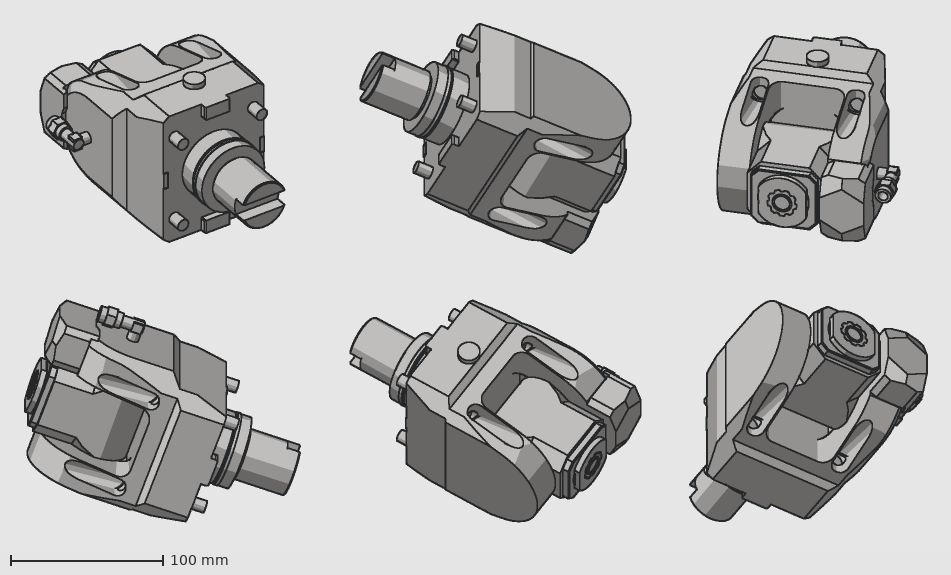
import cadquery as cq
import math


root_overlap = 1.8

envelope_radius = 61.0
pivot_x = -70.1
arm_radius = 37.8
slope = math.radians(15)
arm_half_height = 45.6
arm_front_y = -52.5
arm_back_y = 47.0
flange_half_height = 50.0
flange_half_width = 45.6
flange_face_half_width = 39.6
arm_step_x = -34.5

slot_half_width = 25.6
slot_corner_radius = 8.2
bearing_bore_radius = 30.5
front_arm_end_x = -98.8
head_half_height = 24.0
slot_end_x = pivot_x + head_half_height

shank_tip_x = 60.0
shank_radius = 17.5
spigot_radius = 24.7
spigot_end_x = 23.0
bolt_radius = 4.2
bolt_end_length = 10.5
bolt_y = 31.0
bolt_z = 32.2
key_width = 19.6
key_length = 4.9
key_height = 10.0

pocket_y = 32.5
pocket_radius = 6.0
pocket_tilt = 10
pocket_end_x = -44.5
bolt_bore_z = 33.8
bolt_bore_radius = 5.5
bolt_bore_depth = 1.5

head_front_x = -111.5
cover_front_x = -116.5
disc_front_x = -120.5

nut_front_x = -121.7
nut_rear_x = -94.1
nut_width = 29.8
nut_y = -slot_half_width - nut_width / 2
nut_half_height = 24.2

fitting_y = -62.3
elbow_x = pivot_x


def box(x_range, y_range, z_range):
    """Axis-aligned block between the given limits."""
    sizes = [high - low for low, high in (x_range, y_range, z_range)]
    corner = (x_range[0], y_range[0], z_range[0])
    return cq.Workplane("XY").box(*sizes, centered=False).translate(corner)


def rod(start_x, end_x, radius, y=0, z=0):
    """Cylinder along X."""
    return cq.Workplane("YZ", origin=(start_x, y, z)).circle(radius).extrude(end_x - start_x)


def mirrored_outline(plane, upper_points):
    """Closed straight-sided outline from its upper half, reflected in the X axis."""
    lower_points = [(x, -height) for x, height in reversed(upper_points)]
    return cq.Workplane(plane).polyline(upper_points + lower_points).close()


def make_envelope():
    """Cylinder with a ball end that limits the housing crosswise."""
    ball = cq.Workplane("XY").sphere(envelope_radius).translate((pivot_x, 0, 0))
    return rod(pivot_x, 0, envelope_radius).union(ball)


def make_side_profile():
    """Side outline: round arm ends, 15 degree slopes, then the taller flange block."""
    tangent_x = pivot_x - arm_radius * math.sin(slope)
    tangent_z = arm_radius * math.cos(slope)
    slope_end_x = tangent_x + (arm_half_height - tangent_z) / math.tan(slope)
    step_height = flange_half_height - arm_half_height
    depth = arm_back_y - arm_front_y
    upper_points = [
        (tangent_x, tangent_z),
        (slope_end_x, arm_half_height),
        (arm_step_x, arm_half_height),
        (arm_step_x + step_height, flange_half_height),
        (0, flange_half_height),
    ]
    straight_part = mirrored_outline("XZ", upper_points).extrude(depth)
    round_part = cq.Workplane("XZ").center(pivot_x, 0).circle(arm_radius).extrude(depth)
    return straight_part.union(round_part).translate((0, arm_back_y, 0))


def make_plan_profile():
    """Outline from above: wider arms, 45 degree steps and tapered flange flanks."""
    taper_length = (flange_half_width - flange_face_half_width) / math.tan(slope)
    front_step = -arm_front_y - flange_half_width
    back_step = arm_back_y - flange_half_width
    left_x = pivot_x - arm_radius
    points = [
        (left_x, arm_front_y),
        (arm_step_x - front_step, arm_front_y),
        (arm_step_x, -flange_half_width),
        (-taper_length, -flange_half_width),
        (0, -flange_face_half_width),
        (0, flange_face_half_width),
        (-taper_length, flange_half_width),
        (arm_step_x, flange_half_width),
        (arm_step_x - back_step, arm_back_y),
        (left_x, arm_back_y),
    ]
    outline = cq.Workplane("XY").polyline(points).close()
    return outline.extrude(flange_half_height, both=True)


def make_slot():
    """Opening between the arms, with rounded inner corners."""
    slot = box(
        (nut_front_x, slot_end_x),
        (-slot_half_width, slot_half_width),
        (-flange_half_height, flange_half_height),
    )
    bearing_bore = rod(slot_end_x - slot_corner_radius, slot_end_x, bearing_bore_radius)
    corner_relief = slot.intersect(bearing_bore)
    return slot.edges("|Z and >X").fillet(slot_corner_radius).union(corner_relief)


def make_bolt_pocket():
    """Tilted round-bottomed channel down to one bolt, plus the bore in its end wall."""
    start_x = pivot_x - arm_radius
    length = pocket_end_x - start_x
    top_z = flange_half_height
    bore_start_x = pocket_end_x - pocket_radius
    stadium = (
        cq.Workplane("XY")
        .center(start_x + length / 2, pocket_y)
        .slot2D(length, 2 * pocket_radius)
        .extrude(top_z)
    )
    y_range = (pocket_y - pocket_radius, pocket_y + pocket_radius)
    channel_start_x = bore_start_x - 2 * length
    channel_end_x = bore_start_x + length
    channel = rod(channel_start_x, channel_end_x, pocket_radius, pocket_y, bolt_bore_z)
    z_range = (bolt_bore_z, bolt_bore_z + top_z)
    channel = channel.union(box((channel_start_x, channel_end_x), y_range, z_range))
    tilt_centre = (bore_start_x, 0, bolt_bore_z)
    tilt_axis_end = (bore_start_x, 1, bolt_bore_z)
    channel = channel.rotate(tilt_centre, tilt_axis_end, pocket_tilt)
    bore = rod(bore_start_x, pocket_end_x + bolt_bore_depth, bolt_bore_radius, pocket_y, bolt_bore_z)
    return stadium.intersect(channel).union(bore)


def make_housing():
    """Forked body with its bolt pockets and the button on top."""
    housing = make_side_profile().intersect(make_plan_profile()).intersect(make_envelope())
    housing = housing.cut(make_slot())
    arm_end = box(
        (nut_front_x, front_arm_end_x),
        (arm_front_y, -slot_half_width),
        (-arm_radius, arm_radius),
    )
    housing = housing.cut(arm_end)
    upper_back = make_bolt_pocket()
    upper_front = upper_back.mirror("XZ")
    for pocket in (upper_back, upper_front):
        housing = housing.cut(pocket).cut(pocket.mirror("XY"))
    button_radius = 7.3
    button_x = -23.0
    button_top_z = 54.0
    button = cq.Workplane("XY").center(button_x, 0).circle(button_radius).extrude(button_top_z)
    return housing.union(button)


def make_shank():
    """Spigot with seal groove and ring, neck, and the slotted drive end."""
    groove_start_x = 12.0
    groove_end_x = 12.7
    groove_radius = 24.0
    seal_end_x = 15.8
    seal_radius = 25.0
    seal_bevel = 0.7
    neck_end_x = 25.0
    neck_radius = 15.3
    tip_chamfer = 0.7
    drive_slot_x = 50.9
    drive_slot_half_height = 6.0

    shank = rod(-root_overlap, groove_start_x, spigot_radius)
    shank = shank.union(rod(groove_start_x, groove_end_x, groove_radius))
    seal = rod(groove_end_x, seal_end_x, seal_radius).faces("<X").chamfer(seal_bevel)
    shank = shank.union(seal)
    shank = shank.union(rod(seal_end_x, spigot_end_x, spigot_radius))
    shank = shank.union(rod(spigot_end_x, neck_end_x, neck_radius))
    drive_end = rod(neck_end_x, shank_tip_x, shank_radius).faces(">X").chamfer(tip_chamfer)
    drive_slot = box(
        (drive_slot_x, shank_tip_x),
        (-shank_radius, shank_radius),
        (-drive_slot_half_height, drive_slot_half_height),
    )
    return shank.union(drive_end.cut(drive_slot))


def make_key():
    """Upper locating key with bevelled tip corners and bevelled lower edges."""
    tip_bevel_length = 1.5
    bevel_width = 0.5
    lower_bevel_height = 0.9
    half_width = key_width / 2
    upper_points = [
        (0, half_width),
        (key_length - tip_bevel_length, half_width),
        (key_length, half_width - bevel_width),
    ]
    plan = mirrored_outline("XY", upper_points).extrude(flange_half_height)
    bottom_z = flange_half_height - key_height
    section = [
        (-half_width, flange_half_height),
        (-half_width, bottom_z + lower_bevel_height),
        (-half_width + bevel_width, bottom_z),
        (half_width - bevel_width, bottom_z),
        (half_width, bottom_z + lower_bevel_height),
        (half_width, flange_half_height),
    ]
    return plan.intersect(cq.Workplane("YZ").polyline(section).close().extrude(key_length))


def make_mounting_side():
    """Shank, flank pads, four bolt ends and two keys on the mounting face."""
    mounting = make_shank()
    pad_inner_y = 36.3
    pad_half_height = 6.0
    pad_thickness = 0.5
    pad = box(
        (-root_overlap, pad_thickness),
        (pad_inner_y, flange_face_half_width),
        (-pad_half_height, pad_half_height),
    )
    mounting = mounting.union(pad).union(pad.mirror("XZ"))
    for side in (-1, 1):
        for level in (-1, 1):
            bolt = rod(-root_overlap, bolt_end_length, bolt_radius, side * bolt_y, level * bolt_z)
            mounting = mounting.union(bolt)
    key = make_key()
    return mounting.union(key).union(key.mirror("XY"))


def make_edge_relief():
    """Cutter for one long edge of the head: a bevel that runs out towards the round back in two ramps."""
    bevel_end_x = -84.7
    ramp_end_x = -78.7
    runout_x = pivot_x + 1.0
    bevel_depth = 6.7
    ramp_depth = 3.3
    half_reach = 18.2
    corner_distance = math.hypot(slot_half_width, head_half_height)
    corner_angle = math.degrees(math.atan2(head_half_height, slot_half_width))
    relief = (
        cq.Workplane("XZ")
        .moveTo(head_front_x, corner_distance - bevel_depth)
        .lineTo(bevel_end_x, corner_distance - bevel_depth)
        .lineTo(ramp_end_x, corner_distance - ramp_depth)
        .lineTo(runout_x, corner_distance)
        .lineTo(head_front_x, corner_distance)
        .close()
        .extrude(half_reach, both=True)
    )
    return relief.rotate((0, 0, 0), (1, 0, 0), 90 - corner_angle)


def make_clamping_nut():
    """Thin lobed nut with a ring groove on the face of the disc."""
    lobe_count = 9
    nut_radius = 10.0
    notch_radius = 2.0
    notch_centre_radius = 10.7
    thickness = 0.4
    groove_outer_radius = 6.5
    groove_inner_radius = 5.3
    face_x = disc_front_x - thickness
    nut = rod(face_x, disc_front_x, nut_radius)
    for index in range(lobe_count):
        angle = math.pi / 2 + 2 * math.pi * index / lobe_count
        y = notch_centre_radius * math.cos(angle)
        z = notch_centre_radius * math.sin(angle)
        nut = nut.cut(rod(face_x, disc_front_x, notch_radius, y, z))
    ring = rod(face_x, disc_front_x, groove_outer_radius)
    ring = ring.cut(rod(face_x, disc_front_x, groove_inner_radius))
    return nut.cut(ring)


def make_head():
    """Block between the arms with a round back, a cover plate and a flatted disc."""
    cover_half_width = 22.3
    cover_half_height = 20.7
    cover_corner = 5.0
    cover_edge_bevel = 0.7
    disc_radius = 18.9
    disc_half_flats = 16.0
    washer_radius = 17.3
    washer_thickness = 0.5

    y_range = (-slot_half_width, slot_half_width)
    z_range = (-head_half_height, head_half_height)
    head = box((head_front_x, pivot_x), y_range, z_range)
    round_back = (
        cq.Workplane("XZ")
        .center(pivot_x, 0)
        .circle(head_half_height)
        .extrude(slot_half_width, both=True)
    )
    head = head.union(round_back)
    upper_relief = make_edge_relief()
    for relief in (upper_relief, upper_relief.mirror("XZ")):
        head = head.cut(relief).cut(relief.mirror("XY"))

    cover = box(
        (cover_front_x, head_front_x),
        (-cover_half_width, cover_half_width),
        (-cover_half_height, cover_half_height),
    )
    cover = cover.edges("|X").chamfer(cover_corner).faces("<X").chamfer(cover_edge_bevel)
    disc = rod(disc_front_x, cover_front_x, disc_radius)
    flats = box(
        (disc_front_x, cover_front_x),
        (-disc_half_flats, disc_half_flats),
        (-disc_radius, disc_radius),
    )
    washer = rod(cover_front_x - washer_thickness, cover_front_x, washer_radius)
    return head.union(cover).union(disc.intersect(flats)).union(washer).union(make_clamping_nut())


def make_side_nut():
    """Nut block with a hexagonal front face and a notched lip that overlaps the front arm."""
    front_apothem = 14.9
    facet_angle = 67
    edge_bevel_y = 4.7
    edge_bevel_z = 2.7
    notch_depth = 2.2
    notch_outer_half = 10.5
    notch_inner_half = 5.0

    half_width = nut_width / 2
    bevel_start_y = half_width - edge_bevel_y
    bevel_start_z = nut_half_height - edge_bevel_z
    right_side = [
        (bevel_start_y, -nut_half_height),
        (half_width, -bevel_start_z),
        (half_width, bevel_start_z),
        (bevel_start_y, nut_half_height),
    ]
    left_side = [(-y, z) for y, z in reversed(right_side)]
    length = nut_rear_x - nut_front_x
    block = (
        cq.Workplane("YZ", origin=(nut_front_x, nut_y, 0))
        .polyline(right_side + left_side)
        .close()
        .extrude(length)
    )
    rear_apothem = front_apothem + length * math.tan(math.radians(facet_angle))
    hexagon = (
        cq.Workplane("YZ", origin=(nut_rear_x, nut_y, 0))
        .polygon(6, 2 * rear_apothem, circumscribed=True)
        .extrude(-length, taper=facet_angle)
    )
    notch_outline = [
        (nut_rear_x - notch_depth, notch_inner_half),
        (nut_rear_x, notch_outer_half),
    ]
    notch = mirrored_outline("XZ", notch_outline).extrude(envelope_radius)
    arm_space = box(
        (front_arm_end_x, nut_rear_x),
        (arm_front_y, -slot_half_width),
        (-nut_half_height, nut_half_height),
    )
    return block.intersect(hexagon).cut(notch).cut(arm_space)


def make_fitting():
    """Elbow fitting on the front arm, pointing towards the head's face."""
    tube_radius = 4.0
    collar_radius = 5.3
    collar_start_x = -96.7
    hexagon_start_x = -92.3
    hexagon_end_x = -85.8
    collar_end_x = -81.4
    hexagon_corner_diameter = 13.8
    bore_radius = 3.3
    bore_depth = 9
    elbow_half_height = 4.5
    elbow_half_depth = 3.3
    elbow_half_length = 3.5

    stem_length = arm_front_y - fitting_y
    stem = (
        cq.Workplane("XZ", origin=(elbow_x, arm_front_y + root_overlap, 0))
        .circle(tube_radius)
        .extrude(stem_length + root_overlap)
    )
    elbow = box(
        (elbow_x - elbow_half_length, elbow_x + elbow_half_length),
        (fitting_y - elbow_half_depth, fitting_y + elbow_half_depth),
        (-elbow_half_height, elbow_half_height),
    )
    tube = rod(collar_end_x, elbow_x + tube_radius, tube_radius, fitting_y)
    collar = rod(collar_start_x, collar_end_x, collar_radius, fitting_y)
    hexagon = (
        cq.Workplane("YZ", origin=(hexagon_start_x, fitting_y, 0))
        .polygon(6, hexagon_corner_diameter)
        .extrude(hexagon_end_x - hexagon_start_x)
    )
    bore = rod(collar_start_x, collar_start_x + bore_depth, bore_radius, fitting_y)
    return stem.union(elbow).union(tube).union(collar).union(hexagon).cut(bore)


result = (
    make_housing()
    .union(make_mounting_side())
    .union(make_head())
    .union(make_side_nut())
    .union(make_fitting())
)